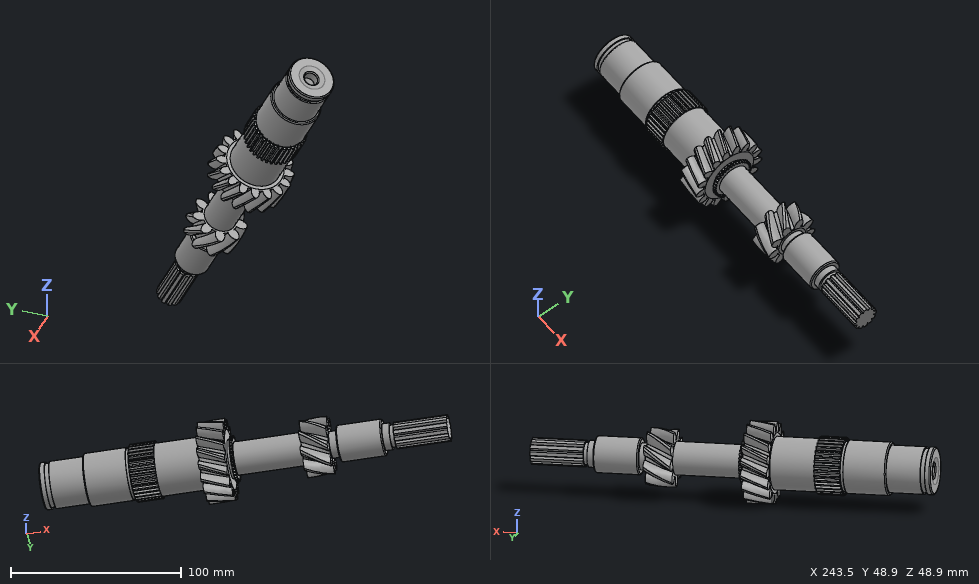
import cadquery as cq
import math

LENGTH = 243.5
RING_GROOVE_START = 3.5
RING_GROOVE_END = 6.0
END_SEAT_END = 26.5
RELIEF_START = 52.4
HUB_SPLINE_START = 54.0
HUB_SPLINE_END = 69.6
LARGE_GEAR_START = 96.5
LARGE_GEAR_WIDTH = 16.0
COLLAR_LENGTH = 1.7
DOG_RING_WIDTH = 1.7
SMALL_GEAR_START = 156.5
SMALL_GEAR_WIDTH = 16.3
BEARING_SEAT_START = 177.5
BEARING_SEAT_END = 204.8
NECK_END = 209.0
END_SPLINE_START = 211.4

LARGE_GEAR_END = LARGE_GEAR_START + LARGE_GEAR_WIDTH
DOG_RING_START = LARGE_GEAR_END + COLLAR_LENGTH
SMALL_GEAR_END = SMALL_GEAR_START + SMALL_GEAR_WIDTH

END_SEAT_RADIUS = 14.1
RING_GROOVE_RADIUS = 13.1
MAIN_RADIUS = 15.8
RELIEF_RADIUS = 15.0
LARGE_GEAR_SEAT_RADIUS = 18.0
COLLAR_RADIUS = 11.7
MIDDLE_RADIUS = 10.0
NECK_RADIUS = 8.0
BEARING_SEAT_RADIUS = 11.0
END_RELIEF_RADIUS = 6.5
EDGE_CHAMFER = 0.7

HUB_SPLINE_TIP_RADIUS = 17.3
HUB_SPLINE_TEETH = 36
HUB_SPLINE_ROOT_SHARE = 0.6
HUB_SPLINE_TIP_SHARE = 0.3
END_SPLINE_TIP_RADIUS = NECK_RADIUS
END_SPLINE_TEETH = 12
END_SPLINE_ROOT_SHARE = 0.95
END_SPLINE_TIP_SHARE = 0.5

COUNTERSINK_RADIUS = 8.0
COUNTERSINK_DEPTH = 1.0
PILOT_MOUTH_RADIUS = 4.9
PILOT_RADIUS = 4.1
PILOT_MOUTH_DEPTH = 0.7
PILOT_DEPTH = 7.3
DRILL_TIP_DEPTH = 2.2

LARGE_GEAR_TEETH = 17
LARGE_GEAR_TIP_RADIUS = 24.47
LARGE_GEAR_ROOT_RADIUS = 19.0
LARGE_GEAR_TWIST = 17.0
LARGE_GEAR_PHASE = -90.0
LARGE_TOOTH_ROOT_WIDTH = 4.9
LARGE_TOOTH_MIDDLE_WIDTH = 4.9
LARGE_TOOTH_TIP_WIDTH = 1.5
SMALL_GEAR_TEETH = 9
SMALL_GEAR_TIP_RADIUS = 17.3
SMALL_GEAR_ROOT_RADIUS = 11.2
SMALL_GEAR_TWIST = 38.0
SMALL_GEAR_PHASE = -90.0
SMALL_TOOTH_ROOT_WIDTH = 5.4
SMALL_TOOTH_MIDDLE_WIDTH = 5.8
SMALL_TOOTH_TIP_WIDTH = 2.0

DOG_RING_TEETH = 36
DOG_RING_ROOT_SHARE = 0.8
DOG_RING_TIP_SHARE = 0.3
DOG_RING_TIP_RADIUS = 13.6
DOG_RING_ROOT_RADIUS = 12.5


def polar(radius, angle):
    """Point of the YZ plane at a radius and an angle in radians from +Y towards +Z."""
    return (radius * math.cos(angle), radius * math.sin(angle))


def cylinder(start, end, radius):
    """Solid cylinder on the X axis between two stations."""
    return cq.Workplane("YZ", origin=(start, 0, 0)).circle(radius).extrude(end - start)


def spline(start, end, root_radius, tip_radius, teeth, root_share, tip_share):
    """Straight spline; each tooth covers the given shares of the pitch at its root and tip."""
    pitch = 2 * math.pi / teeth
    root_half = root_share * pitch / 2
    tip_half = tip_share * pitch / 2
    points = []
    for tooth in range(teeth):
        middle = tooth * pitch
        points += [
            polar(root_radius, middle - root_half),
            polar(tip_radius, middle - tip_half),
            polar(tip_radius, middle + tip_half),
            polar(root_radius, middle + root_half),
        ]
    return cq.Workplane("YZ", origin=(start, 0, 0)).polyline(points).close().extrude(end - start)


def helical_gear(start, width, teeth, root_radius, tip_radius, bore_radius, twist, phase, widths):
    """Helical gear with curved flanks; phase is the angle of one tooth on the left face and
    widths are those of a tooth at its root, middle and tip.
    """
    pitch = 2 * math.pi / teeth
    middle_radius = (root_radius + tip_radius) / 2
    root_width, middle_width, tip_width = widths
    root_half = root_width / 2 / root_radius
    middle_half = middle_width / 2 / middle_radius
    tip_half = tip_width / 2 / tip_radius
    first = math.radians(phase)
    outline = cq.Workplane("YZ", origin=(start, 0, 0)).moveTo(*polar(root_radius, first - root_half))
    for tooth in range(teeth):
        middle = first + tooth * pitch
        following = middle + pitch
        outline = (
            outline
            .threePointArc(polar(middle_radius, middle - middle_half), polar(tip_radius, middle - tip_half))
            .threePointArc(polar(tip_radius, middle), polar(tip_radius, middle + tip_half))
            .threePointArc(polar(middle_radius, middle + middle_half), polar(root_radius, middle + root_half))
            .threePointArc(polar(root_radius, middle + pitch / 2), polar(root_radius, following - root_half))
        )
    return outline.close().twistExtrude(width, twist).cut(cylinder(start, start + width, bore_radius))


def centre_hole():
    """Countersunk centre hole in the left end, with a conical bottom."""
    mouth_end = COUNTERSINK_DEPTH + PILOT_MOUTH_DEPTH
    half_section = [
        (0, 0),
        (0, COUNTERSINK_RADIUS),
        (COUNTERSINK_DEPTH, PILOT_MOUTH_RADIUS),
        (mouth_end, PILOT_RADIUS),
        (PILOT_DEPTH, PILOT_RADIUS),
        (PILOT_DEPTH + DRILL_TIP_DEPTH, 0),
    ]
    return cq.Workplane("XY").polyline(half_section).close().revolve(360, (0, 0, 0), (1, 0, 0))


def build_shaft():
    """Stepped shaft with two integral splines and a centre hole."""
    end_seat = cylinder(0, END_SEAT_END, END_SEAT_RADIUS).faces("<X").chamfer(EDGE_CHAMFER)
    ring_groove = cylinder(RING_GROOVE_START, RING_GROOVE_END, END_SEAT_RADIUS).cut(
        cylinder(RING_GROOVE_START, RING_GROOVE_END, RING_GROOVE_RADIUS)
    )
    main_seat = cylinder(END_SEAT_END, RELIEF_START, MAIN_RADIUS).faces("<X").chamfer(EDGE_CHAMFER)
    hub_spline = spline(
        HUB_SPLINE_START, HUB_SPLINE_END, MAIN_RADIUS, HUB_SPLINE_TIP_RADIUS,
        HUB_SPLINE_TEETH, HUB_SPLINE_ROOT_SHARE, HUB_SPLINE_TIP_SHARE,
    )
    hub_envelope = cylinder(HUB_SPLINE_START, HUB_SPLINE_END, HUB_SPLINE_TIP_RADIUS)
    hub_spline = hub_spline.intersect(hub_envelope.faces("<X").chamfer(EDGE_CHAMFER))
    bearing_seat = cylinder(BEARING_SEAT_START, BEARING_SEAT_END, BEARING_SEAT_RADIUS)
    bearing_seat = bearing_seat.faces("<X or >X").chamfer(EDGE_CHAMFER)
    end_spline = spline(
        END_SPLINE_START, LENGTH, END_RELIEF_RADIUS, END_SPLINE_TIP_RADIUS,
        END_SPLINE_TEETH, END_SPLINE_ROOT_SHARE, END_SPLINE_TIP_SHARE,
    )
    shaft = (
        end_seat.cut(ring_groove)
        .union(main_seat)
        .union(cylinder(RELIEF_START, HUB_SPLINE_START, RELIEF_RADIUS))
        .union(hub_spline)
        .union(cylinder(HUB_SPLINE_END, LARGE_GEAR_START, MAIN_RADIUS))
        .union(cylinder(LARGE_GEAR_START, LARGE_GEAR_END, LARGE_GEAR_SEAT_RADIUS))
        .union(cylinder(LARGE_GEAR_END, DOG_RING_START, COLLAR_RADIUS))
        .union(cylinder(DOG_RING_START, SMALL_GEAR_END, MIDDLE_RADIUS))
        .union(cylinder(SMALL_GEAR_END, NECK_END, NECK_RADIUS))
        .union(bearing_seat)
        .union(cylinder(NECK_END, END_SPLINE_START, END_RELIEF_RADIUS))
        .union(end_spline)
    )
    return shaft.cut(centre_hole())


def build_dog_ring():
    """Thin toothed ring seated against the collar."""
    end = DOG_RING_START + DOG_RING_WIDTH
    ring = spline(
        DOG_RING_START, end, DOG_RING_ROOT_RADIUS, DOG_RING_TIP_RADIUS,
        DOG_RING_TEETH, DOG_RING_ROOT_SHARE, DOG_RING_TIP_SHARE,
    )
    return ring.cut(cylinder(DOG_RING_START, end, MIDDLE_RADIUS))


shaft = build_shaft()
large_gear = helical_gear(
    LARGE_GEAR_START, LARGE_GEAR_WIDTH, LARGE_GEAR_TEETH, LARGE_GEAR_ROOT_RADIUS,
    LARGE_GEAR_TIP_RADIUS, LARGE_GEAR_SEAT_RADIUS, LARGE_GEAR_TWIST, LARGE_GEAR_PHASE,
    (LARGE_TOOTH_ROOT_WIDTH, LARGE_TOOTH_MIDDLE_WIDTH, LARGE_TOOTH_TIP_WIDTH),
)
small_gear = helical_gear(
    SMALL_GEAR_START, SMALL_GEAR_WIDTH, SMALL_GEAR_TEETH, SMALL_GEAR_ROOT_RADIUS,
    SMALL_GEAR_TIP_RADIUS, MIDDLE_RADIUS, SMALL_GEAR_TWIST, SMALL_GEAR_PHASE,
    (SMALL_TOOTH_ROOT_WIDTH, SMALL_TOOTH_MIDDLE_WIDTH, SMALL_TOOTH_TIP_WIDTH),
)
dog_ring = build_dog_ring()

result = cq.Compound.makeCompound([shaft.val(), large_gear.val(), small_gear.val(), dog_ring.val()])